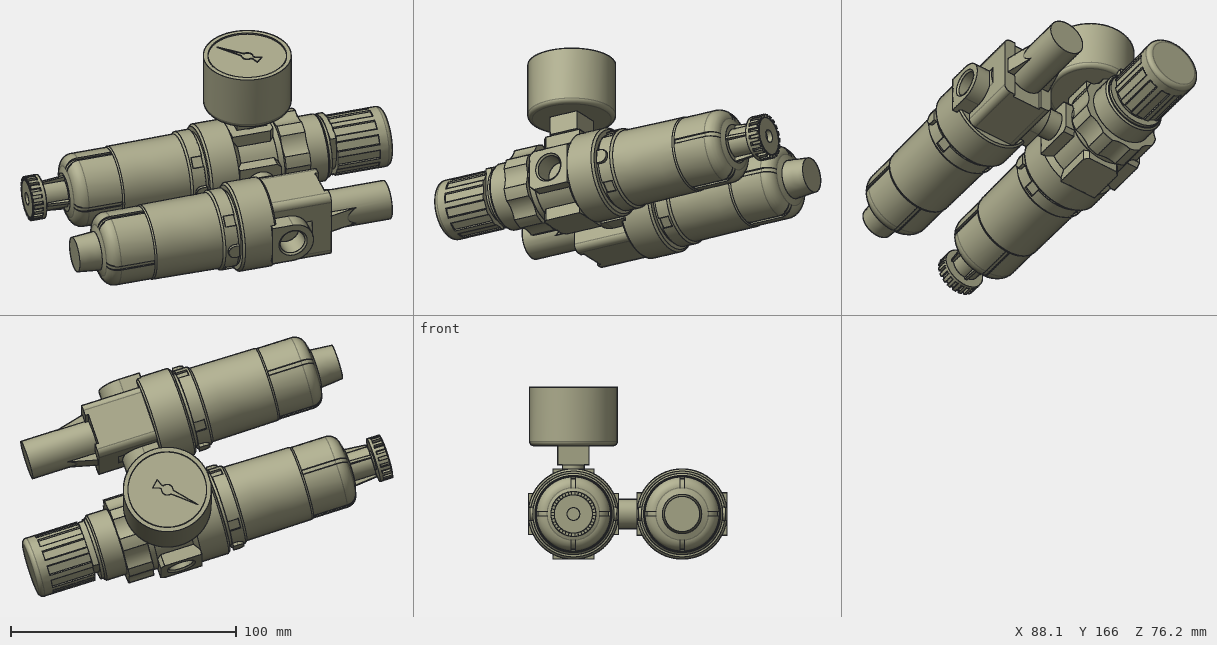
import cadquery as cq
import math


unit_spacing = 48.1
head_radius = 20.0
head_rim = -23.0
head_rim_chamfer = 1.0

groove_radius = 16.8
collar_top = -24.5
collar_bottom = -30.5
collar_radius = 18.01
tube_top = -31.5
tube_top_radius = 17.1
tube_bottom = -62.1
tube_bottom_radius = 16.8
dome_radius = 16.5
dome_step = 0.8
dome_start = -78.5
dome_edge_radius = 11.6
dome_edge = -84.0
bowl_bottom = -85.0
bowl_bottom_radius = 17.5 / 2
lug_bottom = -29.5
lug_radius = 19.3
lug_width = 6.0
notch_width = 5.0
notch_depth = 1.0
rib_groove_width = 2.0
rib_groove_depth = 0.8

boss_half_width = 9.1
boss_half_length = 9.6
boss_corner_chamfer = 1.8
core_radius = 17.1
cone_top = -7.5
port_diameter = 13.1
port_bore_diameter = 11.5
port_countersink_depth = 0.8
port_depth = 10.0
bonnet_neck_radius = 17.0
nut_bottom = 12.3
nut_top = 23.7
nut_radius = 19.3
nut_scallops = 8
scallop_half_angle = 14.3
scallop_floor_radius = 17.6
bonnet_radius = 15.1
bonnet_top = 33.9
bonnet_chamfer = 0.8
cap_flange_radius = 13.8
cap_flange_top = 35.2
knob_neck_radius = 21.0 / 2
saddle_shoulder = 10.8
saddle_crown = 13.3

knob_bottom = 38.0
knob_top = 63.7
knob_radius = 27.0 / 2
knob_edge_radius = 2.2
flute_count = 12
flute_floor_width = 3.7
flute_mouth_width = 5.0
flute_depth = 0.7
flute_top = 57.6

drain_boss_bottom = -95.1
drain_core_radius = 6.6
fin_top_reach = 8.6
fin_bottom_reach = 7.6
fin_thickness = 1.2
drain_stem_radius = 8.6 / 2
drain_knob_top = -96.1
drain_knob_bottom = -102.3
drain_knob_radius = 10.0
drain_hole_diameter = 5.6
drain_hole_depth = 2.5
drain_rim = 1.5
drain_face_step = 0.3
knurl_count = 20
knurl_width = 1.5
knurl_depth = 1.5

gauge_radius = 39.0 / 2
gauge_top = 56.19
gauge_bottom = 30.2
gauge_edge_radius = 2.0
dial_radius = 17.5
dial_depth = 0.7
needle_height = 0.3
needle_hub_diameter = 5.0
needle_angle = 45.0
shank_width = 14.0
shank_bottom = 21.7
gauge_stem_diameter = 9.8
gauge_stem_depth = 6.6

lub_head_top = -7.0
lub_head_chamfer = 0.8
lub_core_radius = 13.5
lub_core_top = 11.1
lub_boss_half_width = 9.5
block_half_width = 12.6
block_half_height = 16.0
block_top = 18.6
block_edge_radius = 3.2
pad_top = 20.1
pad_inner_reach = 7.0
pipe_radius = 17.5 / 2
pipe_top = 49.6
gusset_foot = 11.0
gusset_peak_reach = 7.6
gusset_peak = 33.2
gusset_thickness = 8.3
lub_boss_end_radius = 7.8


def turned(points):
    """Solid of revolution about the Y axis from (radius, y) points; the axis closes the outline."""
    first, last = points[0], points[-1]
    outline = [(0, first[1])] + points + [(0, last[1])]
    return cq.Workplane("XY").polyline(outline).close().revolve(360, (0, 0, 0), (0, 1, 0))


def disc(radius, y_low, y_high):
    """Cylinder on the Y axis."""
    return turned([(radius, y_low), (radius, y_high)])


def block(x_range, y_range, z_range):
    """Axis-aligned box given by its limits."""
    size = [high - low for low, high in (x_range, y_range, z_range)]
    corner = (x_range[0], y_range[0], z_range[0])
    return cq.Workplane("XY").box(*size, centered=False).translate(corner)


def turn_about_y(body, angle):
    return body.rotate((0, 0, 0), (0, 1, 0), angle)


def dome_solid(radius):
    """Lower bowl of a given radius, its rounded end always meeting the same bottom edge."""
    arc_mid_angle = math.radians(45)
    arc_mid = (
        dome_edge_radius + (radius - dome_edge_radius) * math.cos(arc_mid_angle),
        dome_start + (dome_edge - dome_start) * math.sin(arc_mid_angle),
    )
    return (
        cq.Workplane("XY")
        .moveTo(0, tube_bottom)
        .lineTo(tube_bottom_radius, tube_bottom)
        .lineTo(radius, tube_bottom - dome_step)
        .lineTo(radius, dome_start)
        .threePointArc(arc_mid, (dome_edge_radius, dome_edge))
        .lineTo(bowl_bottom_radius, bowl_bottom)
        .lineTo(0, bowl_bottom)
        .close()
        .revolve(360, (0, 0, 0), (0, 1, 0))
    )


def collar_lug():
    """D-shaped lug on the collar pointing along +X, rounded at its lower end."""
    half_width = lug_width / 2
    arc_centre = lug_bottom + half_width
    return (
        cq.Workplane("YZ")
        .moveTo(collar_top, half_width)
        .lineTo(arc_centre, half_width)
        .threePointArc((lug_bottom, 0), (arc_centre, -half_width))
        .lineTo(collar_top, -half_width)
        .close()
        .extrude(lug_radius)
    )


def make_bowl():
    tube = turned([
        (groove_radius, head_rim),
        (groove_radius, collar_top),
        (collar_radius, collar_top),
        (collar_radius, collar_bottom),
        (tube_top_radius, tube_top),
        (tube_bottom_radius, tube_bottom),
    ])
    dome = dome_solid(dome_radius)
    groove_floor = dome_solid(dome_radius - rib_groove_depth)
    groove = block(
        (0, collar_radius), (dome_edge, tube_bottom - dome_step),
        (-rib_groove_width / 2, rib_groove_width / 2),
    ).cut(groove_floor)
    notch = block(
        (collar_radius - notch_depth, lug_radius), (lug_bottom, collar_top),
        (-notch_width / 2, notch_width / 2),
    )
    for angle in (0, 90, 180, 270):
        dome = dome.cut(turn_about_y(groove, angle))
        tube = tube.cut(turn_about_y(notch, angle + 45))
    for angle in (0, 180):
        tube = tube.union(turn_about_y(collar_lug(), angle))
    return tube.union(dome)


def port_plug(face_x, direction):
    """Plug that fills a port and its countersink, from the face at face_x inward along X."""
    bore_radius = port_bore_diameter / 2
    plug = turned([
        (port_diameter / 2, 0),
        (bore_radius, port_countersink_depth),
        (bore_radius, port_depth),
    ])
    return plug.rotate((0, 0, 0), (0, 0, 1), -90 * direction).translate((face_x, 0, 0))


def make_port_cross():
    """Four port bosses around the core, their corners cut away at the upper end."""
    boss = (
        cq.Workplane("XY")
        .rect(2 * boss_half_width, 2 * boss_half_length)
        .extrude(head_radius)
        .edges("|Z and >Y")
        .chamfer(boss_corner_chamfer)
    )
    cross = disc(core_radius, -boss_half_length, boss_half_length)
    for angle in (0, 90, 180, 270):
        cross = cross.union(turn_about_y(boss, angle))
    return cross


def make_nut():
    """Bonnet nut with concave scallops around it."""
    half_chord = nut_radius * math.sin(math.radians(scallop_half_angle))
    chord_reach = nut_radius * math.cos(math.radians(scallop_half_angle))
    sagitta = chord_reach - scallop_floor_radius
    scallop_radius = (half_chord**2 + sagitta**2) / (2 * sagitta)
    scallop = disc(scallop_radius, nut_bottom, nut_top).translate(
        (scallop_floor_radius + scallop_radius, 0, 0)
    )
    nut = disc(nut_radius, nut_bottom, nut_top)
    for index in range(nut_scallops):
        nut = nut.cut(turn_about_y(scallop, index * 360 / nut_scallops))
    return nut


def make_neck_saddle():
    """Arched saddle that thickens the knob neck on its +Z side."""
    return (
        cq.Workplane("XZ", origin=(0, cap_flange_top, 0))
        .moveTo(-knob_neck_radius, 0)
        .lineTo(-knob_neck_radius, saddle_shoulder)
        .threePointArc((0, saddle_crown), (knob_neck_radius, saddle_shoulder))
        .lineTo(knob_neck_radius, 0)
        .close()
        .extrude(cap_flange_top - knob_bottom)
    )


def make_drain_boss():
    """Core with four tapering fins below the regulator bowl."""
    boss = disc(drain_core_radius, drain_boss_bottom, bowl_bottom)
    fin = (
        cq.Workplane("XY")
        .polyline([
            (0, bowl_bottom), (fin_top_reach, bowl_bottom),
            (fin_bottom_reach, drain_boss_bottom), (0, drain_boss_bottom),
        ])
        .close()
        .extrude(fin_thickness / 2, both=True)
    )
    for angle in (0, 90, 180, 270):
        boss = boss.union(turn_about_y(fin, angle))
    return boss


def make_regulator():
    head = turned([
        (head_radius - head_rim_chamfer, head_rim),
        (head_radius, head_rim + head_rim_chamfer),
        (head_radius, -boss_half_length),
        (core_radius, cone_top),
    ])
    bonnet = turned([
        (bonnet_neck_radius, boss_half_length),
        (bonnet_neck_radius, nut_top),
        (bonnet_radius, nut_top),
        (bonnet_radius, bonnet_top - bonnet_chamfer),
        (bonnet_radius - bonnet_chamfer, bonnet_top),
        (cap_flange_radius, bonnet_top),
        (cap_flange_radius, cap_flange_top),
        (knob_neck_radius, cap_flange_top),
        (knob_neck_radius, knob_bottom),
    ])
    gauge_hole = cq.Workplane("XY", origin=(0, 0, head_radius)).circle(gauge_stem_diameter / 2)
    return (
        make_bowl()
        .union(head)
        .union(make_port_cross())
        .union(bonnet)
        .union(make_nut())
        .union(make_neck_saddle())
        .union(make_drain_boss())
        .cut(port_plug(-head_radius, 1))
        .cut(port_plug(head_radius, -1))
        .cut(gauge_hole.extrude(-gauge_stem_depth))
    )


def make_knob():
    knob = disc(knob_radius, knob_bottom, knob_top).faces(">Y").edges().fillet(knob_edge_radius)
    floor_reach = knob_radius - flute_depth
    half_floor = flute_floor_width / 2
    half_mouth = flute_mouth_width / 2
    flute = (
        cq.Workplane("XZ", origin=(0, knob_bottom, 0))
        .polyline([
            (floor_reach, half_floor), (knob_radius, half_mouth),
            (knob_radius, -half_mouth), (floor_reach, -half_floor),
        ])
        .close()
        .extrude(knob_bottom - flute_top)
    )
    for index in range(flute_count):
        knob = knob.cut(turn_about_y(flute, index * 360 / flute_count))
    return knob


def make_drain_knob():
    knurl_bottom = drain_knob_bottom + drain_face_step
    knurl_floor_radius = drain_knob_radius - knurl_depth
    knob = turned([
        (knurl_floor_radius, drain_knob_bottom),
        (knurl_floor_radius, knurl_bottom),
        (drain_knob_radius, knurl_bottom),
        (drain_knob_radius, drain_knob_top),
    ])
    knurl = block(
        (knurl_floor_radius, drain_knob_radius + knurl_depth),
        (knurl_bottom, drain_knob_top - drain_rim),
        (-knurl_width / 2, knurl_width / 2),
    )
    for index in range(knurl_count):
        knob = knob.cut(turn_about_y(knurl, index * 360 / knurl_count))
    stem = disc(drain_stem_radius, drain_knob_top, drain_boss_bottom)
    hole = disc(drain_hole_diameter / 2, drain_knob_bottom, drain_knob_bottom + drain_hole_depth)
    return knob.union(stem).cut(hole)


def make_needle():
    """Raised needle, drawn pointing along -X and then turned to its reading."""
    pointer_outline = [(-15.3, 0), (0, 1.2), (0, -1.2)]
    tail_outline = [(0, 0.8), (3.3, 0.8), (6.1, 2.2), (6.1, -2.2), (3.3, -0.8), (0, -0.8)]
    needle = cq.Workplane("XY").circle(needle_hub_diameter / 2).extrude(needle_height)
    for outline in (pointer_outline, tail_outline):
        needle = needle.union(cq.Workplane("XY").polyline(outline).close().extrude(needle_height))
    needle = needle.translate((0, 0, gauge_top - dial_depth))
    return needle.rotate((0, 0, 0), (0, 0, 1), needle_angle)


def make_gauge():
    case = (
        cq.Workplane("XY", origin=(0, 0, gauge_bottom))
        .circle(gauge_radius)
        .extrude(gauge_top - gauge_bottom)
        .faces("<Z").edges()
        .fillet(gauge_edge_radius)
    )
    dial = cq.Workplane("XY", origin=(0, 0, gauge_top)).circle(dial_radius).extrude(-dial_depth)
    half_shank = shank_width / 2
    shank = block(
        (-half_shank, half_shank), (-half_shank, half_shank), (shank_bottom, gauge_bottom)
    )
    stem_bottom = head_radius - gauge_stem_depth
    stem = (
        cq.Workplane("XY", origin=(0, 0, stem_bottom))
        .circle(gauge_stem_diameter / 2)
        .extrude(shank_bottom - stem_bottom)
    )
    return case.cut(dial).union(make_needle()).union(shank).union(stem)


def make_nipple():
    """Pipe nipple between the units, its ends filling both ports."""
    regulator_face = head_radius
    lubricator_face = unit_spacing - head_radius
    middle = (
        cq.Workplane("YZ", origin=(regulator_face, 0, 0))
        .circle(port_diameter / 2)
        .extrude(lubricator_face - regulator_face)
    )
    return middle.union(port_plug(regulator_face, -1)).union(port_plug(lubricator_face, 1))


def make_port_bar():
    """Port bar along X, rounded on its upper side and square on its lower side."""
    half = lub_boss_half_width
    return (
        cq.Workplane("YZ")
        .moveTo(0, half)
        .lineTo(-half, half)
        .lineTo(-half, -half)
        .lineTo(0, -half)
        .threePointArc((half, 0), (0, half))
        .close()
        .extrude(head_radius, both=True)
    )


def make_pipe_block():
    """Block with rounded long edges, two raised pads, an upright pipe and its two gussets."""
    body = (
        block(
            (-block_half_width, block_half_width), (lub_head_top, block_top),
            (-block_half_height, block_half_height),
        )
        .edges("|Y")
        .fillet(block_edge_radius)
    )
    pad_outline = (
        block(
            (-block_half_width, block_half_width), (block_top, pad_top),
            (-block_half_height, block_half_height),
        )
        .edges("|Y")
        .fillet(block_edge_radius)
    )
    pads = pad_outline.cut(
        block(
            (-pad_inner_reach, pad_inner_reach), (block_top, pad_top),
            (-block_half_height, block_half_height),
        )
    )
    gussets = (
        cq.Workplane("XY")
        .polyline([
            (-gusset_foot, pad_top), (gusset_foot, pad_top),
            (gusset_peak_reach, gusset_peak), (-gusset_peak_reach, gusset_peak),
        ])
        .close()
        .extrude(gusset_thickness / 2, both=True)
    )
    return body.union(pads).union(disc(pipe_radius, block_top, pipe_top)).union(gussets)


def make_lubricator():
    head = turned([
        (head_radius - head_rim_chamfer, head_rim),
        (head_radius, head_rim + head_rim_chamfer),
        (head_radius, lub_head_top - lub_head_chamfer),
        (head_radius - lub_head_chamfer, lub_head_top),
    ])
    bottom_boss = turned([
        (lub_boss_end_radius, drain_boss_bottom),
        (bowl_bottom_radius, bowl_bottom),
    ])
    lubricator = (
        make_bowl()
        .union(head)
        .union(bottom_boss)
        .union(disc(lub_core_radius, lub_head_top, lub_core_top))
        .union(make_port_bar())
        .union(make_pipe_block())
        .cut(port_plug(-head_radius, 1))
        .cut(port_plug(head_radius, -1))
    )
    return lubricator.translate((unit_spacing, 0, 0))


regulator = make_regulator()
knob = make_knob()
drain_knob = make_drain_knob()
gauge = make_gauge()
nipple = make_nipple()
lubricator = make_lubricator()

result = cq.Compound.makeCompound([
    regulator.val(),
    knob.val(),
    drain_knob.val(),
    gauge.val(),
    nipple.val(),
    lubricator.val(),
])